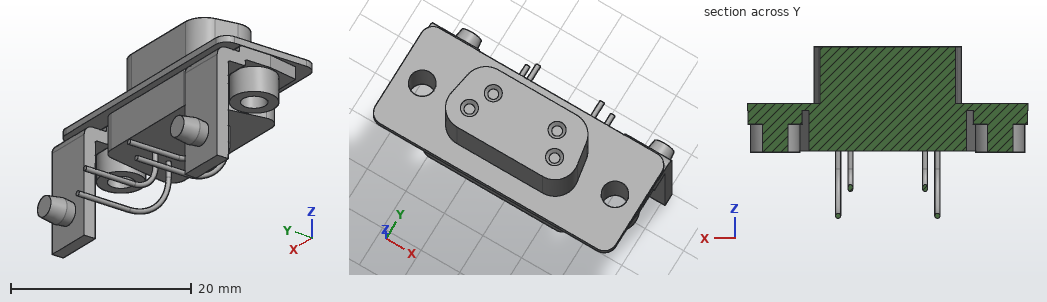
import cadquery as cq
import math


FLANGE_LENGTH = 31.2
FLANGE_WIDTH = 12.9
FLANGE_THICKNESS = 0.8
FLANGE_CORNER_RADIUS = 1.5

SIDE_ANGLE = 10.0
BODY_DEPTH = 8.06
BODY_MEAN_LENGTH = 16.0
BODY_CORNER_RADIUS = 2.65
BODY_HEIGHT = 6.3
SHELL_DEPTH = 11.16
SHELL_MEAN_LENGTH = 18.4
SHELL_CORNER_RADIUS = 1.67
SHELL_BOTTOM = -5.3

MOUNT_X = 12.5
MOUNT_HOLE_DIAMETER = 3.05
BRACKET_WIDTH = 6.05
BRACKET_TIP_WIDTH = 4.55
BRACKET_THICKNESS = 1.55
BRACKET_TIP_Y = -4.05
BRACKET_JOG_DROP = 0.8
JOG_UPPER_Y = 4.2
JOG_LOWER_Y = 3.42
JOG_FILLET = 0.2
LEG_OUTER_Y = 7.3
LEG_BOTTOM = -15.3
BEND_OUTER_RADIUS = 1.2
BEND_INNER_RADIUS = 0.25
NUT_DIAMETER = 5.5
NUT_BOTTOM = -5.45

PEG_Z = -11.5
PEG_BASE_DIAMETER = 2.85
PEG_WAIST_DIAMETER = 3.12
PEG_TIP_DIAMETER = 2.55
PEG_WAIST_Y = 8.6
PEG_TIP_Y = 10.6

PITCH = 2.76
ROW_SPACING = 2.84
TAIL_DIAMETER = 0.6
TAIL_END_Y = 11.1
TAIL_BEND_START = -7.3
TAIL_ROW_PITCH = 2.54
BACK_TAIL_Z = -10.25
SOCKET_FLOOR_DIAMETER = 1.2
SOCKET_MOUTH_DIAMETER = 2.0
SOCKET_DEPTH = 0.4

BACK_ROW = (1.5 * PITCH, ROW_SPACING / 2, BACK_TAIL_Z)
FRONT_ROW = (2 * PITCH, -ROW_SPACING / 2, BACK_TAIL_Z - TAIL_ROW_PITCH)
SIDES = (-1, 1)


def d_prism(mean_length, depth, corner_radius, bottom, top):
    """Rounded trapezoid prism, wider towards -Y."""
    taper = depth / 2 * math.tan(math.radians(SIDE_ANGLE))
    front_half = mean_length / 2 + taper
    back_half = mean_length / 2 - taper
    corners = [
        (-front_half, -depth / 2),
        (front_half, -depth / 2),
        (back_half, depth / 2),
        (-back_half, depth / 2),
    ]
    prism = cq.Workplane("XY").workplane(offset=bottom).polyline(corners).close().extrude(top - bottom)
    return prism.edges("|Z").fillet(corner_radius)


def flange():
    plate = cq.Workplane("XY").box(
        FLANGE_LENGTH, FLANGE_WIDTH, FLANGE_THICKNESS, centered=(True, True, False)
    )
    plate = plate.edges("|Z").fillet(FLANGE_CORNER_RADIUS)
    return plate.translate((0, 0, -FLANGE_THICKNESS))


def cylinder(x, y, diameter, bottom, top):
    return cq.Workplane("XY").workplane(offset=bottom).center(x, y).circle(diameter / 2).extrude(top - bottom)


def bracket(center_x):
    """Jogged right-angle strip: tapered tongue under the flange, arm, and leg reaching down."""
    tongue_top = -FLANGE_THICKNESS
    tongue_bottom = tongue_top - BRACKET_THICKNESS
    arm_top = tongue_top - BRACKET_JOG_DROP
    arm_bottom = arm_top - BRACKET_THICKNESS
    leg_inner_y = LEG_OUTER_Y - BRACKET_THICKNESS
    profile = [
        (BRACKET_TIP_Y, tongue_top),
        (JOG_UPPER_Y, tongue_top),
        (JOG_UPPER_Y, arm_top),
        (LEG_OUTER_Y, arm_top),
        (LEG_OUTER_Y, LEG_BOTTOM),
        (leg_inner_y, LEG_BOTTOM),
        (leg_inner_y, arm_bottom),
        (JOG_LOWER_Y, arm_bottom),
        (JOG_LOWER_Y, tongue_bottom),
        (BRACKET_TIP_Y, tongue_bottom),
    ]
    strip = cq.Workplane("YZ").polyline(profile).close().extrude(BRACKET_WIDTH / 2, both=True)

    def round_edge(solid, y, z, radius):
        return solid.edges(cq.selectors.NearestToPointSelector((0, y, z))).fillet(radius)

    strip = round_edge(strip, LEG_OUTER_Y, arm_top, BEND_OUTER_RADIUS)
    strip = round_edge(strip, leg_inner_y, arm_bottom, BEND_INNER_RADIUS)
    for y, z in (
        (JOG_UPPER_Y, tongue_top),
        (JOG_UPPER_Y, arm_top),
        (JOG_LOWER_Y, arm_bottom),
        (JOG_LOWER_Y, tongue_bottom),
    ):
        strip = round_edge(strip, y, z, JOG_FILLET)

    half_width = BRACKET_WIDTH / 2
    half_tip = BRACKET_TIP_WIDTH / 2
    plan = [
        (-half_width, LEG_OUTER_Y),
        (-half_width, 0),
        (-half_tip, BRACKET_TIP_Y),
        (half_tip, BRACKET_TIP_Y),
        (half_width, 0),
        (half_width, LEG_OUTER_Y),
    ]
    outline = cq.Workplane("XY").workplane(offset=LEG_BOTTOM).polyline(plan).close().extrude(-LEG_BOTTOM)
    return strip.intersect(outline).translate((center_x, 0, 0))


def peg(center_x):
    """Barrel peg revolved about a Y-parallel axis, rooted on the leg's outer face."""
    half_profile = [
        (0, LEG_OUTER_Y),
        (PEG_BASE_DIAMETER / 2, LEG_OUTER_Y),
        (PEG_WAIST_DIAMETER / 2, PEG_WAIST_Y),
        (PEG_TIP_DIAMETER / 2, PEG_TIP_Y),
        (0, PEG_TIP_Y),
    ]
    barrel = cq.Workplane("XY").polyline(half_profile).close().revolve(360, (0, 0, 0), (0, 1, 0))
    return barrel.translate((center_x, 0, PEG_Z))


def tail(x, y, tail_z):
    """Round wire: down out of the shell, quarter bend, then straight towards +Y."""
    bend_radius = TAIL_BEND_START - tail_z
    bend_end_y = y + bend_radius
    bend_mid = (
        bend_end_y - bend_radius * math.cos(math.pi / 4),
        TAIL_BEND_START - bend_radius * math.sin(math.pi / 4),
    )
    path = (
        cq.Workplane("YZ", origin=(x, 0, 0))
        .moveTo(y, SHELL_BOTTOM)
        .lineTo(y, TAIL_BEND_START)
        .threePointArc(bend_mid, (bend_end_y, tail_z))
        .lineTo(TAIL_END_Y, tail_z)
    )
    return cq.Workplane("XY", origin=(x, y, SHELL_BOTTOM)).circle(TAIL_DIAMETER / 2).sweep(path)


def socket(x, y):
    """Cutter for a contact opening: a flat-bottomed cone sunk into the body's top face."""
    floor_z = BODY_HEIGHT - SOCKET_DEPTH
    half_profile = [
        (0, BODY_HEIGHT),
        (SOCKET_MOUTH_DIAMETER / 2, BODY_HEIGHT),
        (SOCKET_FLOOR_DIAMETER / 2, floor_z),
        (0, floor_z),
    ]
    cutter = cq.Workplane("XZ").polyline(half_profile).close().revolve(360, (0, 0, 0), (0, 1, 0))
    return cutter.translate((x, y, 0))


result = flange()
result = result.union(d_prism(BODY_MEAN_LENGTH, BODY_DEPTH, BODY_CORNER_RADIUS, 0, BODY_HEIGHT))
result = result.union(
    d_prism(SHELL_MEAN_LENGTH, SHELL_DEPTH, SHELL_CORNER_RADIUS, SHELL_BOTTOM, -FLANGE_THICKNESS)
)

for side in SIDES:
    mount_x = side * MOUNT_X
    result = result.union(bracket(mount_x))
    result = result.union(cylinder(mount_x, 0, NUT_DIAMETER, NUT_BOTTOM, -FLANGE_THICKNESS))
    result = result.union(peg(mount_x))
    result = result.cut(cylinder(mount_x, 0, MOUNT_HOLE_DIAMETER, NUT_BOTTOM, 0))

for row_x, row_y, row_tail_z in (BACK_ROW, FRONT_ROW):
    for side in SIDES:
        result = result.union(tail(side * row_x, row_y, row_tail_z))
        result = result.cut(socket(side * row_x, row_y))